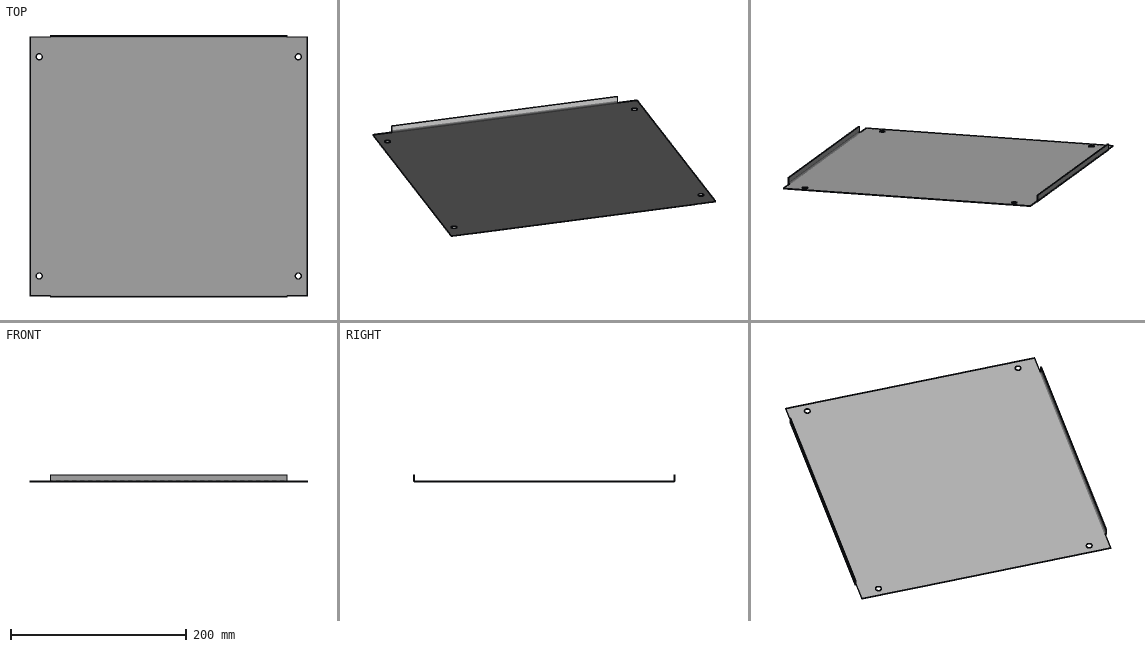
import cadquery as cq

panel_length = 317.0
overall_width = 299.0
overall_height = 8.0
sheet_thickness = 1.0
bend_inner_radius = 0.5
flange_length = 270.7
hole_diameter = 6.5
hole_spacing_x = 296.0
hole_spacing_y = 250.5

bend_outer_radius = bend_inner_radius + sheet_thickness
flat_width = overall_width - 2 * bend_outer_radius


def block(length, width, height):
    """Box centred in X and Y, standing on Z = 0."""
    return cq.Workplane("XY").box(length, width, height, centered=(True, True, False))


def folded_channel():
    """Channel of constant sheet thickness with rounded bends along X."""
    outer = block(flange_length, overall_width, overall_height)
    outer = outer.edges("|X and <Z").fillet(bend_outer_radius)
    inner = block(
        flange_length,
        overall_width - 2 * sheet_thickness,
        overall_height - sheet_thickness,
    )
    inner = inner.edges("|X and <Z").fillet(bend_inner_radius)
    return outer.cut(inner.translate((0, 0, sheet_thickness)))


panel = block(panel_length, flat_width, sheet_thickness)

mounting_holes = (
    cq.Workplane("XY")
    .rect(hole_spacing_x, hole_spacing_y, forConstruction=True)
    .vertices()
    .circle(hole_diameter / 2)
    .extrude(sheet_thickness)
)

result = panel.union(folded_channel()).cut(mounting_holes)